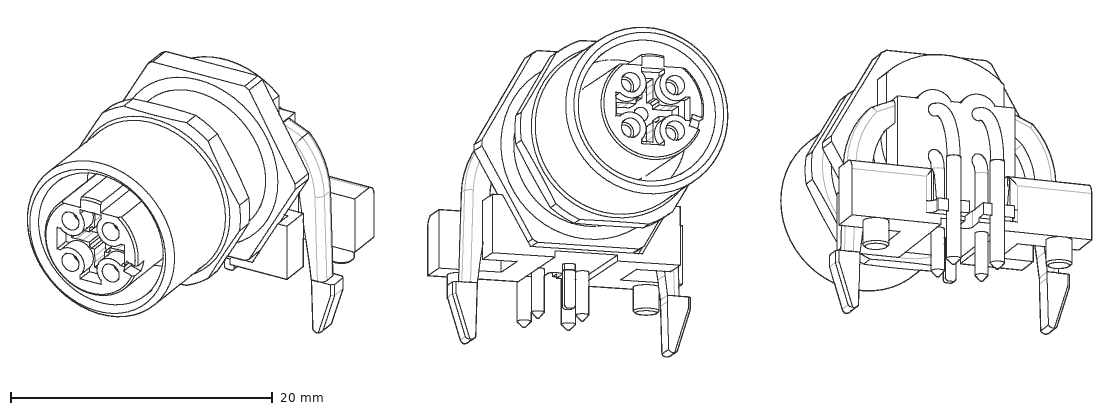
import cadquery as cq
import math


total_length = 27.77
total_height = 22.0

sleeve_radius = 13.0 / 2
bore_radius = 11.0 / 2
neck_radius = 12.0 / 2
rim_bevel = (sleeve_radius - bore_radius) / 2
sleeve_front = 1.08
sleeve_back = 9.35
collar_width = 0.28
collar_radius = 6.72
bore_floor = 9.16

nut_front = sleeve_back + collar_width
nut_back = 11.5
nut_flat_radius = 7.0
nut_corner_radius = 7.53
nut_bevel_width = 0.22

flange_front = 16.5
flange_back = 18.52
flange_flat_radius = 7.5
flange_corner_radius = 8.53
seal_radius = 0.5

insert_radius = 4.1
insert_bevel = 0.17
key_half_width = 0.9
key_flat_height = 3.17
notch_width = 0.95
notch_depth = 1.1
notch_inner_radius = 3.17
notch_angle = -16.0
bore_seal_section = (bore_radius - insert_radius) / 2
pin_pitch = 1.78
contact_hole_diameter = 1.1
contact_mouth_diameter = 1.5
contact_hole_depth = 3.33
contact_mouth_depth = 1.67
cross_half_width = 0.92
cross_half_length = 2.97
cross_depth = 1.4
contact_boss_radius = 1.22
floor_inset = 0.15
floor_arm_half_width = 0.45
floor_arm_half_length = 2.47
floor_step_depth = 1.67

body_half_width = 4.78
back_plate_end = 20.52
body_back = 22.97
back_plate_radius = 6.97
waist_radius = 5.25
body_top = 2.53
tower_radius = 1.55
base_top = -3.85
base_bottom = -8.45
base_gap_half_width = 2.5
base_gap_height = 0.47

front_block_half_width = 7.53
front_block_front = 16.97
front_block_back = 19.47
flange_clearance = 0.25
wing_half_width = 9.75
wing_front = 23.5
wing_back = 26.45
wing_round = 0.9
peg_diameter = 2.0
peg_length = 2.0
peg_bevel = 0.17
peg_x = 7.45

guide_half_width = 3.1
guide_floor_half_width = 2.85
guide_top = -6.7
guide_bottom = -7.65
guide_back = 27.45
guide_corner = 0.58
guide_slot_width = 1.15
guide_slot_front = 24.47

wire_radius = 1.0 / 2
rear_pin_radius = 1.1 / 2
rear_pin_y = total_length - rear_pin_radius
front_pin_y = 23.7
wire_bend_start = 22.22
wire_inside = 1.1
pin_shoulder = -11.33
pin_tip = -11.8
pin_tip_radius = 0.08
ground_pin_width = 0.85
ground_collar_radius = 0.5
ground_pin_bottom = -11.4
ground_pin_thickness = 0.55
ground_pin_round = 0.25

clip_front = back_plate_end
clip_width = 1.85
clip_outer_round = 0.53
hook_inset = 0.05
hook_edge_bevel = 0.22
clip_bottom = flange_flat_radius - total_height
clip_y = clip_front + clip_width / 2


def facing_front(y):
    """Workplane at the given y, local axes along X and Z; a negative extrusion runs toward +Y."""
    return cq.Workplane(cq.Plane(origin=(0, y, 0), xDir=(1, 0, 0), normal=(0, -1, 0)))


def box(x0, x1, y0, y1, z0, z1):
    """Axis-parallel block between two corners."""
    return cq.Workplane("XY").box(x1 - x0, y1 - y0, z1 - z0, centered=False).translate((x0, y0, z0))


def cylinder(radius, y0, y1, x=0.0, z=0.0):
    """Cylinder along Y."""
    return facing_front(y0).center(x, z).circle(radius).extrude(y0 - y1)


def turned(profile):
    """Solid turned about the Y axis from (radius, y) points."""
    return cq.Workplane("XY").polyline(profile).close().revolve(360, (0, 0), (0, 1))


def ring(ring_radius, section_radius, y):
    """Round-section ring about the Y axis."""
    return cq.Workplane("XY").center(ring_radius, y).circle(section_radius).revolve(
        360, (-ring_radius, 0), (-ring_radius, 1)
    )


def hexagon(flat_radius, y0, y1):
    """Hexagonal prism along Y with its top and bottom sides level."""
    return facing_front(y0).polygon(6, 2 * flat_radius / math.cos(math.pi / 6)).extrude(y0 - y1)


def both_sides(shape):
    """Add the mirror image on the other side of the YZ plane."""
    return shape.union(shape.mirror("YZ"))


def make_shell():
    """Sleeve, neck, nut, flange and the seal, with an open bore."""
    bevel_end = sleeve_front + rim_bevel
    turned_core = turned([
        (0, bore_floor),
        (bore_radius, bore_floor),
        (bore_radius, bevel_end),
        (bore_radius + rim_bevel, sleeve_front),
        (sleeve_radius, bevel_end),
        (sleeve_radius, sleeve_back),
        (collar_radius, nut_front),
        (collar_radius, nut_back),
        (neck_radius, nut_back),
        (neck_radius, flange_back),
        (0, flange_back),
    ])
    nut_blank = turned([
        (bore_radius, nut_front),
        (collar_radius, nut_front),
        (nut_corner_radius, nut_front + nut_bevel_width),
        (nut_corner_radius, nut_back - nut_bevel_width),
        (collar_radius, nut_back),
        (bore_radius, nut_back),
    ])
    nut = hexagon(nut_flat_radius, nut_front, nut_back).intersect(nut_blank)
    flange = hexagon(flange_flat_radius, flange_front, flange_back).intersect(
        cylinder(flange_corner_radius, flange_front, flange_back)
    )
    seal = ring(neck_radius + seal_radius, seal_radius, flange_front)
    bore_seal_radius = (bore_radius + insert_radius) / 2
    bore_seal = ring(bore_seal_radius, bore_seal_section, bore_floor)
    return turned_core.union(nut).union(flange).union(seal).union(bore_seal)


def make_cross(half_width, half_length, boss_radius, y0, y1):
    """Cross-shaped prism that keeps clear of the four contact bosses."""
    cross = box(-half_width, half_width, y0, y1, -half_length, half_length)
    cross = cross.union(box(-half_length, half_length, y0, y1, -half_width, half_width))
    centre_half = cross_half_width
    cross = cross.union(box(-centre_half, centre_half, y0, y1, -centre_half, centre_half))
    for x in (-pin_pitch, pin_pitch):
        for z in (-pin_pitch, pin_pitch):
            cross = cross.cut(cylinder(boss_radius, y0, y1, x, z))
    return cross


def make_insert():
    """Contact carrier with its key, notch, contact holes and cross-shaped pocket."""
    insert = cylinder(insert_radius, 0, bore_floor).faces("<Y").chamfer(insert_bevel)
    for side in (-1, 1):
        flat = box(key_half_width, insert_radius, 0, bore_floor, key_flat_height, insert_radius)
        insert = insert.cut(flat if side > 0 else flat.mirror("YZ"))
    notch = box(notch_inner_radius, bore_radius, 0, notch_depth, -notch_width / 2, notch_width / 2)
    insert = insert.cut(notch.rotate((0, 0, 0), (0, 1, 0), -notch_angle))

    floor_end = cross_depth + floor_step_depth
    insert = insert.cut(make_cross(cross_half_width, cross_half_length, contact_boss_radius, 0, cross_depth))
    insert = insert.cut(make_cross(
        floor_arm_half_width, floor_arm_half_length, contact_boss_radius + floor_inset, cross_depth, floor_end
    ))
    insert = insert.cut(cylinder(contact_hole_diameter / 2, floor_end, floor_end + contact_hole_depth))

    hole_radius = contact_hole_diameter / 2
    contact_hole = turned([
        (0, 0),
        (contact_mouth_diameter / 2, 0),
        (contact_mouth_diameter / 2, contact_mouth_depth),
        (hole_radius, contact_mouth_depth),
        (hole_radius, contact_hole_depth),
        (0, contact_hole_depth),
    ])
    for x in (-pin_pitch, pin_pitch):
        for z in (-pin_pitch, pin_pitch):
            insert = insert.cut(contact_hole.translate((x, 0, z)))
    return insert


def make_body():
    """Round back plate, waist, housing block and the two covers over the upper wires."""
    width = body_half_width
    body = cylinder(back_plate_radius, flange_back, back_plate_end).intersect(
        box(-width, width, flange_back, back_plate_end, 0, back_plate_radius)
    )
    waist_drop = math.sqrt(waist_radius ** 2 - width ** 2)
    body = body.union(cylinder(waist_radius, flange_back, back_plate_end).intersect(
        box(-waist_radius, waist_radius, flange_back, back_plate_end, -waist_drop, waist_drop)
    ))
    body = body.union(box(-width, width, flange_back, back_plate_end, base_bottom, 0))
    body = body.union(box(-width, width, back_plate_end, body_back, base_bottom, body_top))
    for x in (-pin_pitch, pin_pitch):
        body = body.union(cylinder(tower_radius, back_plate_end, body_back, x, pin_pitch))
    return body.union(box(-width, width, body_back, wing_front, base_bottom, base_top))


def make_supports():
    """Front block below the flange and the two rear wings with their locating pegs."""
    half = front_block_half_width
    block = box(-half, half, front_block_front, front_block_back, base_bottom, base_top)
    block = block.cut(hexagon(flange_flat_radius + flange_clearance, front_block_front, flange_back))

    wings = box(-wing_half_width, wing_half_width, wing_front, wing_back, base_bottom, base_top)
    wings = wings.edges(">Y and >Z").fillet(wing_round)
    peg = cq.Workplane("XY", origin=(peg_x, wing_back - peg_diameter / 2, base_bottom))
    peg = peg.circle(peg_diameter / 2).extrude(-peg_length).faces("<Z").chamfer(peg_bevel)
    return block.union(wings.union(both_sides(peg)))


def cut_guide_recess(part):
    """Open the space between the wings and the gap under the base."""
    recess = facing_front(body_back).polyline([
        (-guide_floor_half_width, guide_top),
        (guide_floor_half_width, guide_top),
        (guide_half_width, base_top),
        (-guide_half_width, base_top),
    ]).close().extrude(body_back - wing_back)
    corner_round = cq.Workplane("XY", origin=(0, 0, guide_top)).moveTo(guide_half_width, wing_back)
    corner_round = corner_round.lineTo(guide_half_width + guide_corner, wing_back)
    corner_round = corner_round.radiusArc((guide_half_width, wing_back - guide_corner), -guide_corner)
    corner_round = corner_round.close().extrude(base_top - guide_top)
    gap = box(
        -base_gap_half_width, base_gap_half_width, front_block_front, wing_back,
        base_bottom, base_bottom + base_gap_height,
    )
    return part.cut(recess).cut(both_sides(corner_round)).cut(gap)


def make_guide():
    """Thin plate that holds the pins behind the base."""
    corner = guide_half_width + guide_corner
    guide = cq.Workplane("XY", origin=(0, 0, guide_bottom)).moveTo(-corner, wing_front)
    guide = guide.lineTo(corner, wing_front).lineTo(corner, wing_back)
    guide = guide.radiusArc((guide_half_width, wing_back + guide_corner), guide_corner)
    guide = guide.lineTo(guide_half_width, guide_back).lineTo(-guide_half_width, guide_back)
    guide = guide.lineTo(-guide_half_width, wing_back + guide_corner)
    guide = guide.radiusArc((-corner, wing_back), guide_corner)
    return guide.close().extrude(guide_top - guide_bottom)


def make_guide_slot():
    """Cutter for the round-ended slot between the rear pins."""
    slot_radius = guide_slot_width / 2
    slot_end_y = guide_slot_front + slot_radius
    slot = box(-slot_radius, slot_radius, slot_end_y, guide_back, base_bottom, guide_top)
    slot_end = cq.Workplane("XY", origin=(0, slot_end_y, base_bottom))
    return slot.union(slot_end.circle(slot_radius).extrude(guide_top - base_bottom))


def make_pin(x, z, pin_y, pin_radius):
    """Wire that leaves the body along Y, bends down and ends in a pointed pin."""
    bend_radius = pin_y - wire_bend_start
    bend_end = z - bend_radius
    arc_middle = math.sqrt(0.5) * bend_radius
    path = (
        cq.Workplane("YZ", origin=(x, 0, 0))
        .moveTo(wire_bend_start - wire_inside, z)
        .lineTo(wire_bend_start, z)
        .threePointArc((wire_bend_start + arc_middle, bend_end + arc_middle), (pin_y, bend_end))
    )
    wire = facing_front(wire_bend_start - wire_inside).center(x, z).circle(wire_radius).sweep(path)
    pin = cq.Workplane("XZ").polyline([
        (0, bend_end),
        (pin_radius, bend_end),
        (pin_radius, pin_shoulder),
        (pin_tip_radius, pin_tip),
        (0, pin_tip),
    ]).close().revolve(360, (0, 0), (0, 1))
    return wire.union(pin.translate((x, pin_y, 0)))


def make_ground_pin():
    """Flat centre blade with a rounded end and a short round collar under the body."""
    half_width = ground_pin_width / 2
    half_thickness = ground_pin_thickness / 2
    root = base_bottom + base_gap_height
    blade = box(
        -half_width, half_width, clip_y - half_thickness, clip_y + half_thickness, ground_pin_bottom, root
    )
    blade = blade.edges("|Y and <Z").fillet(ground_pin_round)
    collar = cq.Workplane("XY", origin=(0, clip_y, base_bottom)).circle(ground_collar_radius)
    return blade.union(collar.extrude(base_gap_height))


def edges_between(low, high):
    """Selector for edges centred between two (x, z) corners, at any y."""
    return cq.selectors.BoxSelector((low[0], 0, low[1]), (high[0], total_length, high[1]))


def make_clip():
    """Left snap clip: a bent arm with a rounded outside and a barbed hook at its end."""
    arm_top = (-6.55, 1.72)
    arm_root_top = 2.47
    arm_root_bottom = 0.55
    leg_top = (-8.47, -2.8)
    leg_bottom = (-8.7, -10.05)
    inner_bend_start = (-5.55, -0.15)
    inner_bend_middle = (-6.2, -1.25)
    inner_leg_top = (-6.6, -3.33)
    inner_leg_kink = (-7.41, -8.5)
    inner_leg_bottom = (-7.6, -10.55)
    barb_x = -9.53
    barb_bottom = -11.0
    tip_outer = (-8.5, -14.27)
    tip_inner = (-7.72, -14.27)
    selection_margin = 0.28
    arm = (
        facing_front(clip_front)
        .moveTo(*leg_bottom)
        .lineTo(*leg_top)
        .tangentArcPoint(arm_top, relative=False)
        .lineTo(-body_half_width, arm_root_top)
        .lineTo(-body_half_width, arm_root_bottom)
        .lineTo(*inner_bend_start)
        .threePointArc(inner_bend_middle, inner_leg_top)
        .lineTo(*inner_leg_kink)
        .lineTo(inner_leg_bottom[0], leg_bottom[1])
        .close()
        .extrude(-clip_width)
    )
    leg_side = edges_between((barb_x, leg_bottom[1] + selection_margin), (inner_leg_bottom[0], arm_top[1]))
    arm_side = edges_between(arm_top, (-body_half_width, arm_root_top))
    arm = arm.edges("not |Y").edges(leg_side + arm_side).fillet(clip_outer_round)

    hook = (
        facing_front(clip_front + hook_inset)
        .moveTo(inner_leg_bottom[0], leg_bottom[1])
        .lineTo(barb_x, leg_bottom[1])
        .lineTo(barb_x, barb_bottom)
        .lineTo(*tip_outer)
        .threePointArc(((tip_outer[0] + tip_inner[0]) / 2, clip_bottom), tip_inner)
        .lineTo(*inner_leg_bottom)
        .close()
        .extrude(2 * hook_inset - clip_width)
    )
    barb_side = edges_between(
        (barb_x - selection_margin, clip_bottom), (tip_outer[0], leg_bottom[1] - selection_margin)
    )
    hook = hook.edges("not |Y").edges(barb_side).chamfer(hook_edge_bevel)
    return arm.union(hook)


result = make_shell().union(make_insert())
result = result.union(make_body()).union(make_supports())
result = cut_guide_recess(result).union(make_guide()).cut(make_guide_slot())
for pin_x in (-pin_pitch, pin_pitch):
    result = result.union(make_pin(pin_x, pin_pitch, rear_pin_y, rear_pin_radius))
    result = result.union(make_pin(pin_x, -pin_pitch, front_pin_y, wire_radius))
result = result.union(make_ground_pin()).union(both_sides(make_clip()))